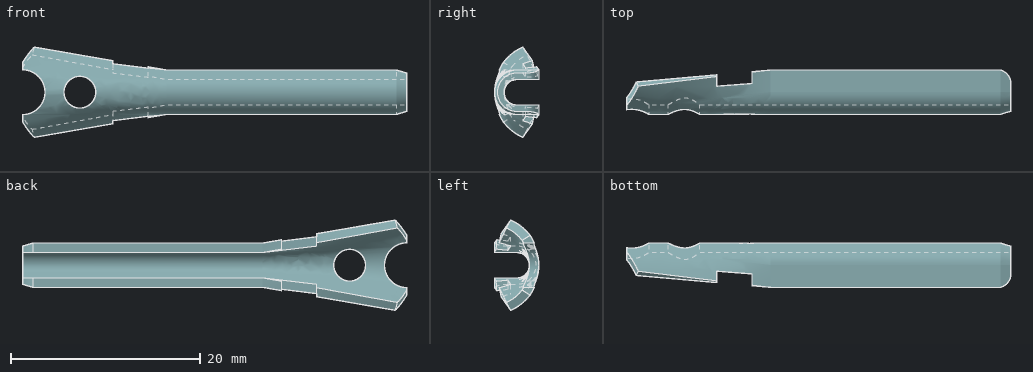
import cadquery as cq
import math

length = 40.65
outer_radius = 2.35
wall = 1.0

flare_length = 15.25
tip_length = 1.1
tip_start = length - tip_length
tip_inset = 0.33
tip_flat_y = 0.6

flare_radius = 5.8
flare_center_y = flare_radius - outer_radius
flare_edge_z = 5.0
crease_z = 2.4

end_scallop_radius = 2.35
hole_x = 6.05
hole_radius = 1.65
notch_start = 9.55
notch_end = 13.25
notch_floor_start_y = 0.65
notch_floor_end_y = 0.95

bevel_length = 1.2
bevel_width = 2.45
bevel_start_z = 3.15

clearance = 8.13


def u_outline(x, inset=0.0):
    """Closed U section at station x, with every edge moved in by inset."""
    out = outer_radius - inset
    bore = outer_radius - wall
    return (
        cq.Workplane("YZ", origin=(x, 0, 0))
        .moveTo(outer_radius, out)
        .lineTo(0, out)
        .threePointArc((-out, 0), (0, -out))
        .lineTo(outer_radius, -out)
        .lineTo(outer_radius, -bore)
        .lineTo(0, -bore)
        .threePointArc((-bore, 0), (0, bore))
        .lineTo(outer_radius, bore)
        .close()
        .val()
    )


def flare_point(radius, angle):
    """Point at an angle from the bottom of the flare arc, as (y, z)."""
    return flare_center_y - radius * math.cos(angle), radius * math.sin(angle)


def flare_outline():
    """Arc-shaped wall section at x = 0, divided to match the U section."""
    edge = math.asin(flare_edge_z / flare_radius)
    crease = math.asin(crease_z / flare_radius)
    side = (edge + crease) / 2
    inner = flare_radius - wall
    return (
        cq.Workplane("YZ")
        .moveTo(*flare_point(flare_radius, edge))
        .threePointArc(flare_point(flare_radius, side), flare_point(flare_radius, crease))
        .threePointArc(flare_point(flare_radius, 0), flare_point(flare_radius, -crease))
        .threePointArc(flare_point(flare_radius, -side), flare_point(flare_radius, -edge))
        .lineTo(*flare_point(inner, -edge))
        .threePointArc(flare_point(inner, -side), flare_point(inner, -crease))
        .threePointArc(flare_point(inner, 0), flare_point(inner, crease))
        .threePointArc(flare_point(inner, side), flare_point(inner, edge))
        .close()
        .val()
    )


def ruled_section(start, end):
    return cq.Workplane(obj=cq.Solid.makeLoft([start, end], True))


def tip_rounding():
    """Material removed to round the open side of the tip."""
    rise = outer_radius - tip_flat_y
    diagonal = math.sqrt(0.5)
    middle = (tip_start + tip_length * diagonal, tip_flat_y + rise * diagonal)
    return (
        cq.Workplane("XY")
        .moveTo(tip_start, outer_radius)
        .threePointArc(middle, (length, tip_flat_y))
        .lineTo(length, outer_radius)
        .close()
        .extrude(clearance, both=True)
    )


def notch():
    return (
        cq.Workplane("XY")
        .polyline([
            (notch_start, notch_floor_start_y),
            (notch_end, notch_floor_end_y),
            (notch_end, clearance),
            (notch_start, clearance),
        ])
        .close()
        .extrude(clearance, both=True)
    )


def cross_hole(x, radius):
    return cq.Workplane("XZ").center(x, 0).circle(radius).extrude(clearance, both=True)


def corner_bevel():
    """Wedge removed from the +Z flared corner, running square through the wall."""
    angle = math.asin(bevel_start_z / flare_radius)
    start_y, start_z = flare_point(flare_radius, angle)
    plane = cq.Plane(
        origin=(0, start_y, start_z),
        xDir=(0, math.sin(angle), math.cos(angle)),
        normal=(0, math.cos(angle), -math.sin(angle)),
    )
    return (
        cq.Workplane(plane)
        .polyline([(0, 0), (2 * bevel_width, 2 * bevel_length), (2 * bevel_width, 0)])
        .close()
        .extrude(2 * wall, both=True)
    )


flare = ruled_section(flare_outline(), u_outline(flare_length))
shank = ruled_section(u_outline(flare_length), u_outline(tip_start))
tip = ruled_section(u_outline(tip_start), u_outline(length, tip_inset))
body = flare.union(shank).union(tip)

body = body.cut(tip_rounding()).cut(notch())
body = body.cut(cross_hole(0, end_scallop_radius)).cut(cross_hole(hole_x, hole_radius))
bevel = corner_bevel()
result = body.cut(bevel).cut(bevel.mirror("XY"))